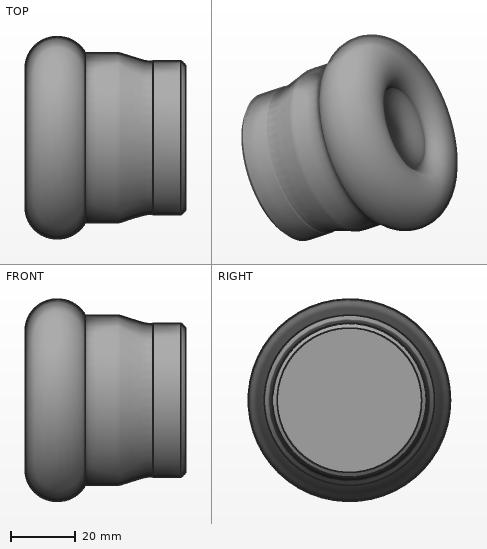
import cadquery as cq
import math

total_length = 50.0
overall_diameter = 63.0

tube_radius = 10.0
ring_radius = overall_diameter / 2 - tube_radius

body_radius = 53.0 / 2
neck_radius = 47.6 / 2
collar_radius = 48.0 / 2
body_end = 28.5
shoulder_end = 29.75
taper_end = 36.05
neck_start = 39.2
neck_end = 39.75
collar_start = 39.95
end_chamfer = 1.5

recess_radius = 13.0
recess_depth = 2.25
face_offset = math.sqrt(tube_radius**2 - (ring_radius - recess_radius) ** 2)
face_position = tube_radius - face_offset


def make_ring():
    """Plain torus around the X axis."""
    return (
        cq.Workplane("XY")
        .center(tube_radius, ring_radius)
        .circle(tube_radius)
        .revolve(360, (0, -ring_radius, 0), (1, -ring_radius, 0))
    )


def make_plug(ring):
    """Turned plug with a seat for the ring."""
    shoulder_length = shoulder_end - body_end
    foot_length = neck_start - taper_end
    taper_length = shoulder_length / 2 + (taper_end - shoulder_end) + foot_length / 2
    taper_slope = (body_radius - neck_radius) / taper_length
    shoulder_radius = body_radius - taper_slope * shoulder_length / 2
    foot_radius = neck_radius + taper_slope * foot_length / 2
    blank = (
        cq.Workplane("XY")
        .moveTo(face_position + recess_depth, 0)
        .lineTo(face_position, recess_radius)
        .lineTo(tube_radius, ring_radius)
        .lineTo(tube_radius, body_radius)
        .lineTo(body_end, body_radius)
        .tangentArcPoint((shoulder_end, shoulder_radius), relative=False)
        .lineTo(taper_end, foot_radius)
        .tangentArcPoint((neck_start, neck_radius), relative=False)
        .lineTo(neck_end, neck_radius)
        .lineTo(collar_start, collar_radius)
        .lineTo(total_length - end_chamfer, collar_radius)
        .lineTo(total_length, collar_radius - end_chamfer)
        .lineTo(total_length, 0)
        .close()
        .revolve(360, (0, 0, 0), (1, 0, 0))
    )
    return blank.cut(ring).solids()


ring = make_ring()
plug = make_plug(ring)
result = cq.Compound.makeCompound([ring.val(), plug.val()])